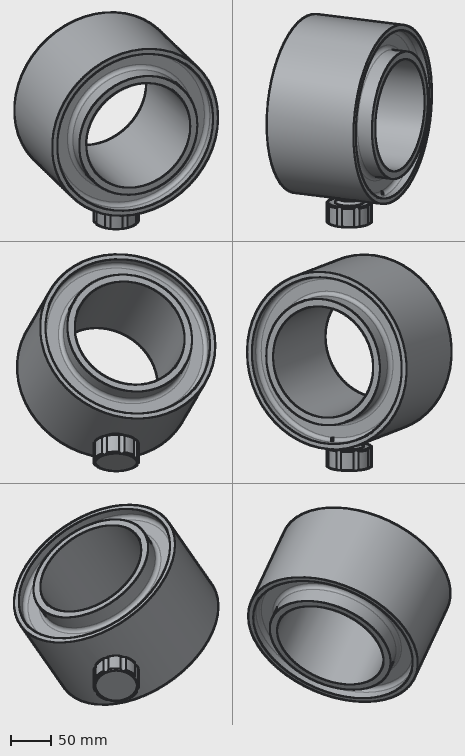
import cadquery as cq
import math

wheel_diameter = 225.0
wheel_width = 120.2
hub_width = 140.0
hub_diameter = 160.0
bore_diameter = 141.0
recess_diameter = 211.2
recess_depth = 15.3
recess_fillet = 5.2

port_diameter = 4.0
port_offset = 103.0
port_end_x = 0.0

overall_height = 258.5
knob_diameter = 56.9
knob_height = 26.0
knob_bottom_chamfer = 2.5
knob_bottom_chamfer_height = 1.5
knob_top_chamfer = 1.5
knob_top_chamfer_height = 1.5
flute_count = 8
flute_width = 7.0
flute_depth = 2.3
neck_diameter = 25.5
neck_embed = 2.5
collar_diameter = 26.4
collar_height = 1.3
cone_diameter = 36.2
cone_height = 4.1

wheel_radius = wheel_diameter / 2
knob_bottom_z = wheel_radius - overall_height
knob_top_z = knob_bottom_z + knob_height


def ring(outer_diameter, inner_diameter, start_x, length):
    """Plain ring around the X axis."""
    profile = cq.Workplane("YZ", origin=(start_x, 0, 0)).circle(outer_diameter / 2)
    return profile.circle(inner_diameter / 2).extrude(length)


def make_recess(side):
    """Annular recess cutter for the +X (side=1) or -X (side=-1) face, with rounded floor edges."""
    floor_x = wheel_width / 2 - recess_depth
    cutter = ring(recess_diameter, hub_diameter, floor_x, recess_depth)
    cutter = cutter.faces("<X").edges().fillet(recess_fillet)
    return cutter if side > 0 else cutter.mirror("YZ")


def make_wheel():
    body = ring(wheel_diameter, bore_diameter, -wheel_width / 2, wheel_width)
    hub = ring(hub_diameter, bore_diameter, -hub_width / 2, hub_width)
    wheel = body.union(hub)
    for side in (-1, 1):
        wheel = wheel.cut(make_recess(side))
    return wheel


def make_port():
    length = port_end_x + wheel_width / 2
    start = (-wheel_width / 2, 0, -port_offset)
    return cq.Workplane("YZ", origin=start).circle(port_diameter / 2).extrude(length)


def make_knob():
    """Turned knob with bevelled rims, conical shoulder and neck, fluted around its grip."""
    grip_radius = knob_diameter / 2
    neck_radius = neck_diameter / 2
    collar_radius = collar_diameter / 2
    cone_radius = cone_diameter / 2
    collar_bottom_z = knob_top_z + cone_height
    collar_top_z = collar_bottom_z + collar_height
    neck_top_z = neck_embed - wheel_radius
    knob = (
        cq.Workplane("XZ")
        .moveTo(0, knob_bottom_z)
        .lineTo(grip_radius - knob_bottom_chamfer, knob_bottom_z)
        .lineTo(grip_radius, knob_bottom_z + knob_bottom_chamfer_height)
        .lineTo(grip_radius, knob_top_z - knob_top_chamfer_height)
        .lineTo(grip_radius - knob_top_chamfer, knob_top_z)
        .lineTo(cone_radius, knob_top_z)
        .lineTo(collar_radius, collar_bottom_z)
        .lineTo(collar_radius, collar_top_z)
        .lineTo(neck_radius, collar_top_z)
        .lineTo(neck_radius, neck_top_z)
        .lineTo(0, neck_top_z)
        .close()
        .revolve(360, (0, 0, 0), (0, 1, 0))
    )
    half_width = flute_width / 2
    edge_radius = math.sqrt(grip_radius**2 - half_width**2)
    sagitta = edge_radius - (grip_radius - flute_depth)
    flute_radius = (half_width**2 + sagitta**2) / (2 * sagitta)
    flutes = (
        cq.Workplane("XY", origin=(0, 0, knob_bottom_z))
        .polarArray(grip_radius - flute_depth + flute_radius, 0, 360, flute_count)
        .circle(flute_radius)
        .extrude(knob_height)
    )
    return knob.cut(flutes)


result = make_wheel().union(make_knob()).cut(make_port())